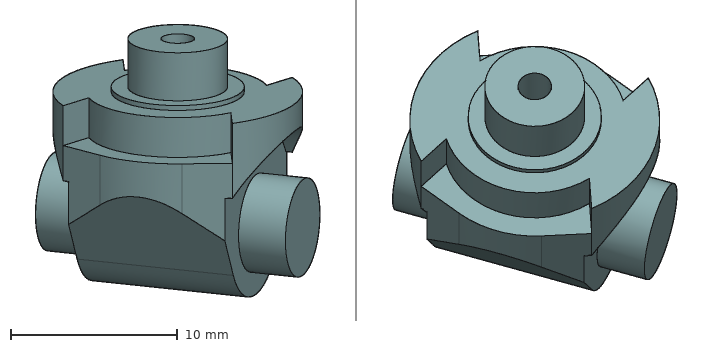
import cadquery as cq
import math

overall_length = 16.0
pin_diameter = 6.0
bore_diameter = 2.0
spigot_diameter = pin_diameter
spigot_top = 11.0
collar_diameter = 8.0
collar_top = 8.0

head_diameter = 15.0
head_top = 7.7
head_width = 13.75
flank_angle = 22.5
step_diameter = 11.0
step_floor = 5.2

body_length = 10.0
underside_radius = 4.5
shoulder_height = pin_diameter / 2
clearance_radius = 6.0


def disc(diameter, bottom, top):
    """Cylinder on the Z axis between two heights."""
    return cq.Workplane("XY").workplane(offset=bottom).circle(diameter / 2).extrude(top - bottom)


def bar(radius, length):
    """Cylinder centred on the X axis."""
    return cq.Workplane("YZ").circle(radius).extrude(length / 2, both=True)


def body_prism():
    """Rounded underside with flat flanks running tangentially up to the shoulders."""
    half_width = head_width / 2
    shoulder_direction = math.atan2(shoulder_height, half_width)
    shoulder_distance = math.hypot(half_width, shoulder_height)
    tangent_angle = shoulder_direction - math.acos(underside_radius / shoulder_distance)
    underside_y = underside_radius * math.cos(tangent_angle)
    underside_z = underside_radius * math.sin(tangent_angle)
    return (
        cq.Workplane("YZ")
        .moveTo(half_width, head_top)
        .lineTo(half_width, shoulder_height)
        .lineTo(underside_y, underside_z)
        .threePointArc((0, -underside_radius), (-underside_y, underside_z))
        .lineTo(-half_width, shoulder_height)
        .lineTo(-half_width, head_top)
        .close()
        .extrude(head_diameter / 2, both=True)
    )


flank_radius = head_width / 2
end_radius = head_diameter / 2
flank_normal = math.radians(90 - flank_angle)
corner_angle = flank_normal - math.acos(flank_radius / end_radius)
corner_x = end_radius * math.cos(corner_angle)
corner_y = end_radius * math.sin(corner_angle)

tangent_x = flank_radius * math.cos(flank_normal)
tangent_y = flank_radius * math.sin(flank_normal)

step_radius = step_diameter / 2
flank_run = math.sqrt(end_radius**2 - flank_radius**2)
step_angle = flank_normal - math.asin(flank_run / step_radius)
step_x = step_radius * math.cos(step_angle)
step_y = step_radius * math.sin(step_angle)


def head_prism():
    """Plan outline: two round ends and two rounded sides with flat flanks."""
    height = head_top + underside_radius
    return (
        cq.Workplane("XY")
        .workplane(offset=-underside_radius)
        .moveTo(corner_x, -corner_y)
        .threePointArc((end_radius, 0), (corner_x, corner_y))
        .lineTo(tangent_x, tangent_y)
        .threePointArc((0, flank_radius), (-tangent_x, tangent_y))
        .lineTo(-corner_x, corner_y)
        .threePointArc((-end_radius, 0), (-corner_x, -corner_y))
        .lineTo(-tangent_x, -tangent_y)
        .threePointArc((0, -flank_radius), (tangent_x, -tangent_y))
        .close()
        .extrude(height)
    )


def step_cutter(side):
    """Recess above the step floor; side is +1 or -1 along Y."""
    outer_y = head_width
    outer_x = corner_x + (outer_y - corner_y) * math.tan(math.radians(flank_angle))
    return (
        cq.Workplane("XY")
        .workplane(offset=step_floor)
        .moveTo(step_x, side * step_y)
        .threePointArc((0, side * step_radius), (-step_x, side * step_y))
        .lineTo(-outer_x, side * outer_y)
        .lineTo(outer_x, side * outer_y)
        .close()
        .extrude(head_top - step_floor)
    )


def end_clearance():
    """Space around both pins, leaving the narrow body between them."""
    below_shoulder = (
        cq.Workplane("XY")
        .workplane(offset=-underside_radius)
        .rect(overall_length, overall_length)
        .extrude(shoulder_height + underside_radius)
    )
    body_zone = cq.Workplane("XY").box(body_length, 2 * overall_length, 2 * overall_length)
    return bar(clearance_radius, overall_length).union(below_shoulder).cut(body_zone)


result = head_prism().intersect(body_prism()).cut(end_clearance())
for side in (1, -1):
    result = result.cut(step_cutter(side))

result = result.union(bar(pin_diameter / 2, overall_length))
result = result.union(disc(collar_diameter, step_floor, collar_top))
result = result.union(disc(spigot_diameter, step_floor, spigot_top))
result = result.cut(disc(bore_diameter, -underside_radius, spigot_top))